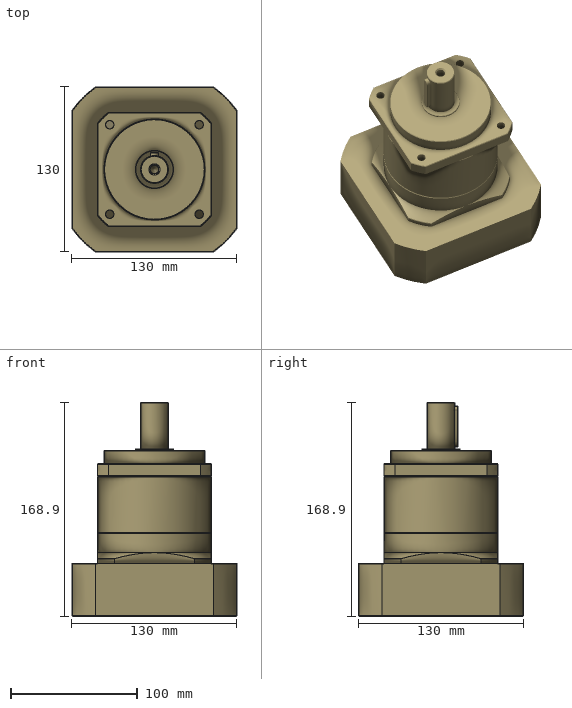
import cadquery as cq
import math

adapter_side = 130.0
adapter_height = 41.7
adapter_corner_radius = 80.0
adapter_chamfer = 0.5

housing_side = 90.0
barrel_radius = housing_side / 2

foot_corner_radius = 55.0
foot_cone_top = 50.3
foot_cone_bottom = 45.6
foot_edge_chamfer = 0.3

groove_depth = 0.5
groove_height = 1.2
lower_groove_z = 65.9
barrel_chamfer = 0.5

flange_bottom = 110.6

flange_top = 120.6
flange_corner_radius = 58.0
flange_chamfer = 0.5
flange_hole_diameter = 6.6
flange_hole_circle_radius = 50.0

pilot_radius = 39.9
pilot_top = 131.0
pilot_chamfer = 0.5

collar_radius = 15.0
collar_top = 132.2
collar_chamfer = 0.3

shaft_radius = 11.0
shaft_top = 168.9
shaft_chamfer = 0.5

bore_radius = 3.4
bore_depth = 18.5
bore_countersink = 1.0
bore_tip_angle = 118.0

key_width = 6.0
key_length = 32.1
key_bottom = 134.0
key_inner_y = 7.5
key_outer_y = 13.5
key_chamfer = 0.5


def rounded_corner_block(side, corner_radius, bottom, top):
    """Square block whose corners are turned to a cylinder about the Z axis."""
    height = top - bottom
    square = cq.Workplane("XY").workplane(offset=bottom).rect(side, side).extrude(height)
    return square.intersect(disc(corner_radius, bottom, top))


def disc(radius, bottom, top):
    return cq.Workplane("XY").workplane(offset=bottom).circle(radius).extrude(top - bottom)


def make_adapter():
    block = rounded_corner_block(adapter_side, adapter_corner_radius, 0, adapter_height)
    return block.faces("<Z").edges().chamfer(adapter_chamfer)


def make_foot():
    """Square foot, its corners turned round and its top turned to a cone."""
    cone_slope = (foot_cone_top - foot_cone_bottom) / (foot_corner_radius - barrel_radius)
    chamfer_radius = foot_corner_radius - foot_edge_chamfer
    turned = (
        cq.Workplane("XZ")
        .moveTo(0, adapter_height)
        .lineTo(foot_corner_radius, adapter_height)
        .lineTo(foot_corner_radius, foot_cone_bottom - foot_edge_chamfer)
        .lineTo(chamfer_radius, foot_cone_bottom + cone_slope * foot_edge_chamfer)
        .lineTo(barrel_radius, foot_cone_top)
        .lineTo(0, foot_cone_top)
        .close()
        .revolve(360, (0, 0, 0), (0, 1, 0))
    )
    square = cq.Workplane("XY").workplane(offset=adapter_height).rect(housing_side, housing_side)
    return turned.intersect(square.extrude(foot_cone_top - adapter_height))


def make_groove(middle_z):
    """V-shaped ring that cuts a groove round the barrel."""
    half_height = groove_height / 2
    return (
        cq.Workplane("XZ")
        .moveTo(barrel_radius - groove_depth, middle_z)
        .lineTo(barrel_radius, middle_z + half_height)
        .lineTo(barrel_radius, middle_z - half_height)
        .close()
        .revolve(360, (0, 0, 0), (0, 1, 0))
    )


def make_barrel():
    barrel = disc(barrel_radius, foot_cone_top, flange_bottom)
    barrel = barrel.faces(">Z").edges().chamfer(barrel_chamfer)
    return barrel.cut(make_groove(lower_groove_z))


def make_flange():
    """Flange with a through hole near each corner."""
    plate = rounded_corner_block(housing_side, flange_corner_radius, flange_bottom, flange_top)
    plate = plate.faces("<Z or >Z").edges().chamfer(flange_chamfer)
    return (
        plate.faces(">Z")
        .workplane(origin=(0, 0, flange_top))
        .polarArray(flange_hole_circle_radius, 45, 360, 4)
        .hole(flange_hole_diameter)
    )


def make_pilot():
    pilot = disc(pilot_radius, flange_top, pilot_top).faces(">Z").edges().chamfer(pilot_chamfer)
    collar = disc(collar_radius, pilot_top, collar_top).faces(">Z").edges().chamfer(collar_chamfer)
    return pilot.union(collar)


def make_shaft_bore():
    """Countersunk blind bore with a conical drilled end."""
    floor_z = shaft_top - bore_depth
    tip_depth = bore_radius / math.tan(math.radians(bore_tip_angle / 2))
    return (
        cq.Workplane("XZ")
        .moveTo(0, floor_z - tip_depth)
        .lineTo(bore_radius, floor_z)
        .lineTo(bore_radius, shaft_top - bore_countersink)
        .lineTo(bore_radius + bore_countersink, shaft_top)
        .lineTo(0, shaft_top)
        .close()
        .revolve(360, (0, 0, 0), (0, 1, 0))
    )


def make_shaft():
    shaft = disc(shaft_radius, collar_top, shaft_top).faces(">Z").edges().chamfer(shaft_chamfer)
    return shaft.cut(make_shaft_bore())


def make_key():
    """Round-ended key standing along the shaft on its +Y side."""
    return (
        cq.Workplane("XZ", origin=(0, key_inner_y, key_bottom + key_length / 2))
        .slot2D(key_length, key_width, 90)
        .extrude(key_inner_y - key_outer_y)
        .faces(">Y")
        .edges()
        .chamfer(key_chamfer)
    )


def make_gearbox(key):
    """Housing and output shaft in one, with a seat for the key."""
    gearbox = make_foot().union(make_barrel()).union(make_flange())
    gearbox = gearbox.union(make_pilot()).union(make_shaft())
    return gearbox.cut(key)


adapter = make_adapter()
key = make_key()
gearbox = make_gearbox(key)

result = cq.Compound.makeCompound([adapter.val(), gearbox.val(), key.val()])